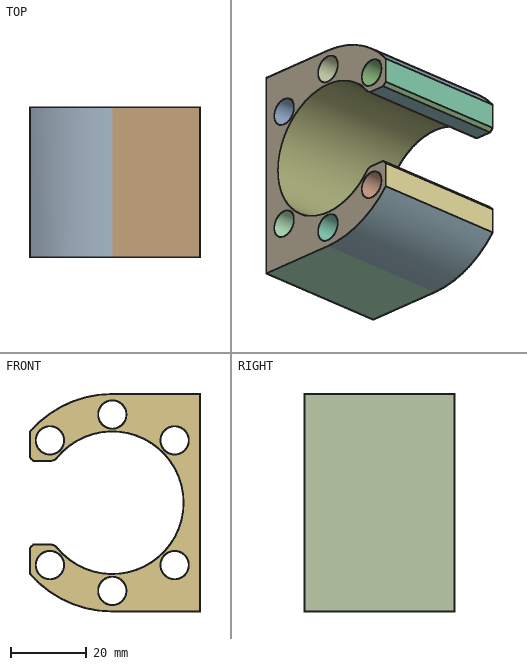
import cadquery as cq
import math

height = 58.0
depth = 40.0
width = 45.4
outer_radius = height / 2
mouth_x = -22.0
back_x = mouth_x + width

bore_radius = 18.95
mouth_half_height = 11.1
lip_chamfer = 1.0
lip_fillet_radius = 2.5

hole_diameter = 7.5
pitch_radius = 23.5
hole_angles = (45, 90, 135, 225, 270, 315)


def cylinder_along_y(x, z, radius):
    """Cylinder through the full depth, centred on the XZ plane."""
    return cq.Workplane("XZ").center(x, z).circle(radius).extrude(depth / 2, both=True)


def make_body():
    """Rounded front, trimmed flat at the mouth, with a square back."""
    mouth_corner_z = math.sqrt(outer_radius**2 - mouth_x**2)
    arc_angle = (math.pi / 2 + math.atan2(mouth_corner_z, mouth_x)) / 2
    arc_x = outer_radius * math.cos(arc_angle)
    arc_z = outer_radius * math.sin(arc_angle)
    return (
        cq.Workplane("XZ")
        .moveTo(back_x, -outer_radius)
        .lineTo(back_x, outer_radius)
        .lineTo(0, outer_radius)
        .threePointArc((arc_x, arc_z), (mouth_x, mouth_corner_z))
        .lineTo(mouth_x, -mouth_corner_z)
        .threePointArc((arc_x, -arc_z), (0, -outer_radius))
        .close()
        .extrude(depth / 2, both=True)
    )


def cut_mouth(body):
    """Cut the bore and the slot that opens it, then ease the lip edges."""
    slot = cq.Workplane("XY").box(
        -mouth_x, depth, 2 * mouth_half_height, centered=(False, True, True)
    ).translate((mouth_x, 0, 0))
    body = body.cut(cylinder_along_y(0, 0, bore_radius)).cut(slot)
    inner_lip_x = -math.sqrt(bore_radius**2 - mouth_half_height**2)
    for z in (-mouth_half_height, mouth_half_height):
        inner_edge = cq.selectors.NearestToPointSelector((inner_lip_x, 0, z))
        body = body.edges("|Y").edges(inner_edge).fillet(lip_fillet_radius)
        outer_edge = cq.selectors.NearestToPointSelector((mouth_x, 0, z))
        body = body.edges("|Y").edges(outer_edge).chamfer(lip_chamfer)
    return body


def drill_holes(body):
    for angle in hole_angles:
        x = pitch_radius * math.cos(math.radians(angle))
        z = pitch_radius * math.sin(math.radians(angle))
        body = body.cut(cylinder_along_y(x, z, hole_diameter / 2))
    return body


result = drill_holes(cut_mouth(make_body()))